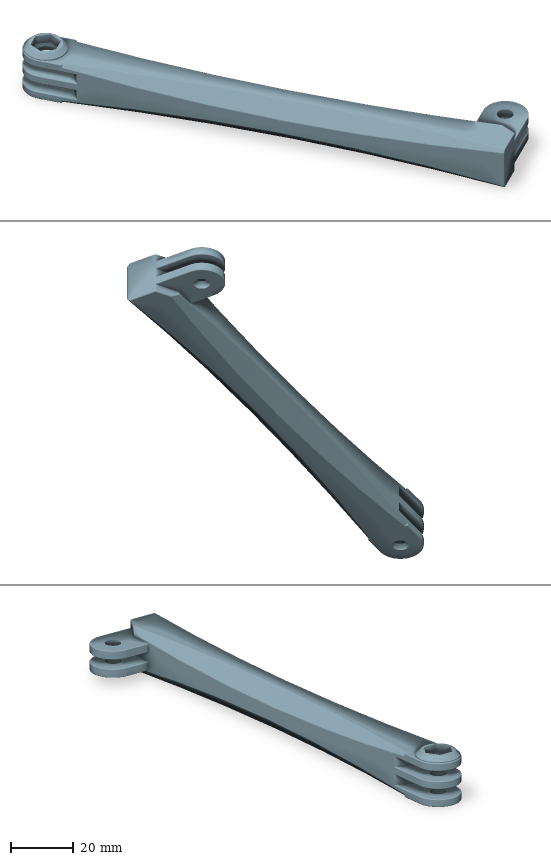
import cadquery as cq
import math

LENGTH = 165.0
WIDTH = 15.0
OVERALL_DEPTH = 31.0
BOSS_HEIGHT = 2.0
BOSS_CHAMFER = 1.6
EDGE_RADIUS = 0.3
PIN_DIAMETER = 5.3
NUT_ACROSS_FLATS = 8.6
NUT_POCKET_DEPTH = 3.0

SLOT_WIDTH = 3.5
PRONG_THICKNESS = 3.0
PRONG_PITCH = 6.2
RELIEF_ANGLE = 30.0
SLOT_TIP_X = 16.3

BEVEL_START_X = 15.5
BEVEL_END_LEG = 1.0
BEVEL_MIDDLE_LEG = 5.0

TOLERANCE = 0.001
RING_RADIUS = 0.02
RING_SAMPLES = 12

RADIUS = WIDTH / 2
MIDDLE = WIDTH / 2
FORK_X = RADIUS
LUG_X = LENGTH - RADIUS
LUG_Y = OVERALL_DEPTH - RADIUS
RELIEF_RISE = RADIUS * math.tan(math.radians(RELIEF_ANGLE))
PRONG_CENTRES = [MIDDLE - PRONG_PITCH / 2, MIDDLE + PRONG_PITCH / 2]


def cylinder(x, y, z, diameter, height):
    return cq.Workplane("XY", origin=(x, y, z)).circle(diameter / 2).extrude(height)


def arm_blank():
    """Square bar whose left end is rounded about the fork pin."""
    bar = cq.Workplane("XY").box(LENGTH - FORK_X, WIDTH, WIDTH, centered=False)
    return bar.translate((FORK_X, 0, 0)).union(cylinder(FORK_X, MIDDLE, 0, WIDTH, WIDTH))


def corner_bevel(quarter):
    """Cutter with an arched floor that takes one long corner off at 45 degrees."""
    half_diagonal = MIDDLE * math.sqrt(2)
    end_height = half_diagonal - BEVEL_END_LEG / math.sqrt(2)
    middle_height = half_diagonal - BEVEL_MIDDLE_LEG / math.sqrt(2)
    middle_x = (BEVEL_START_X + LENGTH) / 2
    cutter = (
        cq.Workplane("XZ")
        .moveTo(BEVEL_START_X, end_height)
        .threePointArc((middle_x, middle_height), (LENGTH, end_height))
        .lineTo(LENGTH, half_diagonal)
        .lineTo(BEVEL_START_X, half_diagonal)
        .close()
        .extrude(RADIUS, both=True)
        .rotate((0, 0, 0), (1, 0, 0), 45 + 90 * quarter)
    )
    return cutter.translate((0, MIDDLE, MIDDLE))


def lug_relief():
    """Sloped corner cleared at the right end for the mating knuckle."""
    return (
        cq.Workplane("XY")
        .polyline([(LUG_X, WIDTH), (LENGTH, WIDTH - RELIEF_RISE), (LENGTH, WIDTH)])
        .close()
        .extrude(WIDTH)
    )


def lug_prong(centre_z):
    """One round-ended prong of the side lug, rooted inside the arm."""
    bottom = centre_z - PRONG_THICKNESS / 2
    root = (
        cq.Workplane("XY")
        .box(WIDTH, LUG_Y - MIDDLE, PRONG_THICKNESS, centered=False)
        .translate((LENGTH - WIDTH, MIDDLE, bottom))
    )
    return root.union(cylinder(LUG_X, LUG_Y, bottom, WIDTH, PRONG_THICKNESS))


def fork_slot(centre_z):
    """Slot between fork prongs; its floor is a V pointing at the pin."""
    floor_x = SLOT_TIP_X + RELIEF_RISE
    return (
        cq.Workplane("XY", origin=(0, 0, centre_z - SLOT_WIDTH / 2))
        .polyline([(0, 0), (floor_x, 0), (SLOT_TIP_X, MIDDLE), (floor_x, WIDTH), (0, WIDTH)])
        .close()
        .extrude(SLOT_WIDTH)
    )


def nut_boss():
    """Round boss on top of the fork, with a conical shoulder and a rounded rim."""
    diameter = WIDTH - 2 * EDGE_RADIUS
    boss = cylinder(FORK_X, MIDDLE, WIDTH, diameter, BOSS_HEIGHT)
    return boss.edges(">Z").chamfer(BOSS_CHAMFER).edges(">Z").fillet(EDGE_RADIUS)


def nut_pocket():
    """Hexagonal pocket with two flats square to X."""
    across_corners = NUT_ACROSS_FLATS / math.cos(math.radians(30))
    pocket = cq.Workplane("XY").polygon(6, across_corners).extrude(NUT_POCKET_DEPTH)
    pocket = pocket.rotate((0, 0, 0), (0, 0, 1), 30)
    return pocket.translate((FORK_X, MIDDLE, WIDTH + BOSS_HEIGHT - NUT_POCKET_DEPTH))


def is_seam(edge):
    """True for the upright lines where flat sides run tangent into a round end."""
    centre = edge.Center()
    upright = edge.BoundingBox().zlen > edge.Length() - TOLERANCE
    at_fork = abs(centre.x - FORK_X) < TOLERANCE
    at_lug = abs(centre.y - LUG_Y) < TOLERANCE
    return upright and (at_fork or at_lug)


def is_inside_corner(solid, edge):
    """True where material fills more than half of a small ring around the edge."""
    middle = edge.positionAt(0.5)
    along = edge.tangentAt(0.5)
    helper = cq.Vector(1, 0, 0) if abs(along.z) > 0.9 else cq.Vector(0, 0, 1)
    side = along.cross(helper).normalized()
    up = along.cross(side)
    filled = 0
    for step in range(RING_SAMPLES):
        angle = 2 * math.pi * (step + 0.5) / RING_SAMPLES
        offset = side * math.cos(angle) + up * math.sin(angle)
        if solid.isInside(middle + offset * RING_RADIUS):
            filled += 1
    return filled > RING_SAMPLES / 2


def round_outer_edges(body):
    """Round every outside edge, leaving tangent seams and inside corners alone."""
    solid = body.val()
    outer_edges = [
        edge
        for edge in body.edges().vals()
        if not is_seam(edge) and not is_inside_corner(solid, edge)
    ]
    return body.newObject(outer_edges).fillet(EDGE_RADIUS)


result = arm_blank()
for quarter in range(4):
    result = result.cut(corner_bevel(quarter))
result = result.cut(lug_relief())
for centre_z in PRONG_CENTRES:
    result = result.cut(fork_slot(centre_z))
    result = result.union(lug_prong(centre_z))
result = round_outer_edges(result)
result = result.union(nut_boss()).cut(nut_pocket())
for pin_x, pin_y in [(FORK_X, MIDDLE), (LUG_X, LUG_Y)]:
    result = result.cut(cylinder(pin_x, pin_y, 0, PIN_DIAMETER, WIDTH + BOSS_HEIGHT))